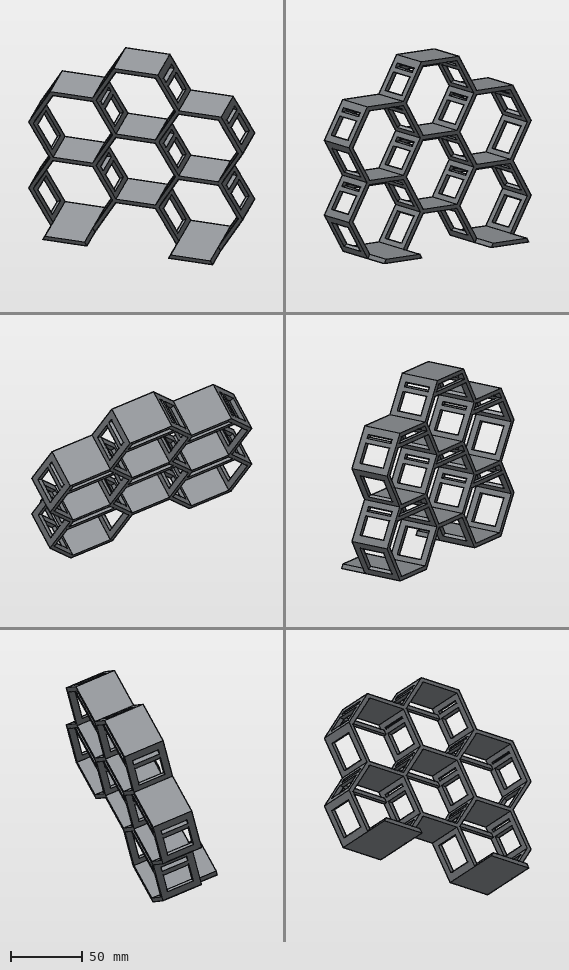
import cadquery as cq
import math

overall_width = 156.5
wall = 3.0
depth = 30.0
foot_length = 20.0
window_margin = 5.0
window_length = 21.1
rail_gap = 5.0
rail_depth = 3.0
shell_rise = 0.6

root3 = math.sqrt(3)
row_pitch = (overall_width * root3 - 2 * wall) / 5
column_pitch = row_pitch * root3 / 2
outer_flats = row_pitch + wall
inner_flats = row_pitch - wall
rail_top = inner_flats / 2 - rail_gap
window_depth = depth - 2 * window_margin

low = outer_flats / 2
bottom_cells = [(x, low, 0) for x in (-column_pitch, column_pitch)]
upper_side_cells = [(x, low + row_pitch, shell_rise) for x in (-column_pitch, column_pitch)]
middle_cells = [(0, low + row_pitch / 2, 0), (0, low + 1.5 * row_pitch, 0)]
cells = bottom_cells + upper_side_cells + middle_cells


def box(x_size, y_size, z_size, x, y_front, z):
    """Box centred on x and z whose front face lies at y_front."""
    return cq.Workplane("XY").box(x_size, y_size, z_size).translate((x, y_front + y_size / 2, z))


def hexagon(flats, x, z):
    """Hexagonal prism over the full cell depth, given its size across flats."""
    corner_diameter = flats * 2 / root3
    prism = cq.Workplane("XZ").polygon(6, corner_diameter).extrude(-depth)
    return prism.translate((x, 0, z))


def shell(x, z, rise):
    """Solid outside of a cell, with its slanted faces raised but its top kept level with its row."""
    top_limit = box(2 * outer_flats, depth, outer_flats, x, 0, z)
    return hexagon(outer_flats, x, z + rise).intersect(top_limit)


def wall_windows(x, z):
    """Cutters for the windows in the four slanted walls of a cell."""
    cutters = cq.Workplane("XY")
    for tilt in (30, 150, 210, 330):
        cutter = box(2 * wall, window_depth, window_length, row_pitch / 2, window_margin, 0)
        cutters = cutters.add(cutter.rotate((0, 0, 0), (0, 1, 0), tilt).translate((x, 0, z)))
    return cutters.combine()


def rail_band(x, z, rise, y_size):
    """Horizontal band at rail height, reaching forward from the back and ending flush with the shell."""
    z_middle = z + rise + rail_top - wall / 2
    band = box(2 * outer_flats, y_size, wall, x, depth - y_size, z_middle)
    return band.intersect(shell(x, z, rise))


def rail(x, z, rise):
    """Rail across the back of a cell, from inner wall to inner wall."""
    return rail_band(x, z, rise, rail_depth).intersect(hexagon(inner_flats, x, z))


def foot(x):
    """Floor of a bottom cell extended forward, with the mitred ends of the floor wall."""
    half_bottom = outer_flats / root3 / 2
    half_top = inner_flats / root3 / 2
    profile = [(x - half_bottom, 0), (x + half_bottom, 0), (x + half_top, wall), (x - half_top, wall)]
    return cq.Workplane("XZ").polyline(profile).close().extrude(foot_length)


result = shell(*cells[0])
for cell in cells[1:]:
    result = result.union(shell(*cell))

for x, z, _ in cells:
    result = result.cut(wall_windows(x, z))
for cell in cells:
    result = result.union(rail_band(*cell, depth))

for x, z, _ in cells:
    result = result.cut(hexagon(inner_flats, x, z))
for cell in cells:
    result = result.union(rail(*cell))

for x, _, _ in bottom_cells:
    result = result.union(foot(x))